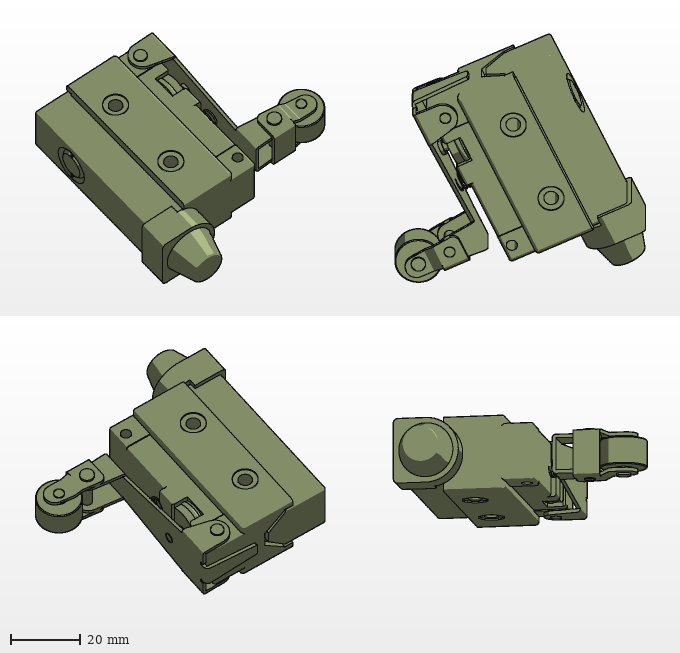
import cadquery as cq
import math


housing_length = 54.5
flange_half = 10.99
flange_bottom = 11.9
flange_top = 29.9
flange_round = 1.1
edge_round = 0.95

ear_half = 8.5
waist_half = 8.15
left_ear_end = 9.0
right_ear_start = 45.5
low_top = 38.3
high_top = 39.8
high_end = 27.1
cross_hole_y = 35.5
ear_hole_x = 49.6
cross_hole_diameter = 3.2

mount_hole_xs = (14.35, 40.0)
mount_hole_y = 18.5
mount_hole_diameter = 4.2
counterbore_diameter = 7.5
counterbore_depth = 0.4

cover_half = 8.0
cover_tip_y = 20.55
cover_tip_half = 2.0
cover_shoulder_y = 13.85
groove_tip_y = 21.85
groove_tip_half = 2.7
groove_shoulder_y = 14.7
groove_depth = 1.95

screw_x = 17.15
screw_rim_radius = 6.05
screw_valley_radius = 4.75
screw_disc_radius = 4.0
screw_groove_depth = 0.95
screw_rib_width = 0.7
screw_rib_recess = 0.2

gland_axis_y = 8.1
gland_radius = 9.5
gland_round = 1.4
gland_start = 51.9
gland_end = 61.5
gland_notch_y = 9.4
gland_bottom = -1.5
boss_end = 70.4
boss_base_radius = 7.9
boss_tip_radius = 5.25
boss_tip_round = 0.7

plunger_x = 16.6
boot_slot_width = 7.9
boot_slot_bottom = 34.6
boot_slot_chamfer = 0.65
boot_diameter = 15.0
boot_bead_bottom = 35.3
boot_bead_top = 36.8
boot_bead_bulge = 0.35
boot_top = 39.2
spring_x = 28.55
spring_outer_diameter = 5.3
spring_wire_diameter = 0.4
spring_turns = 3.4
spring_clearance = 0.2
spring_anchor = 0.15

sheet = 1.1
plate_top = 43.8
plate_bottom = plate_top - sheet
bend_radius = 1.1
tail_bend_radius = 1.6
pivot_x = 4.5
pivot_ear_radius = 4.3
pivot_ear_y = 36.4
bracket_end = 10.5
bracket_half = ear_half + sheet
fork_half = 5.8
tail_end_y = 25.6
tail_root_half = 3.45
tail_tip_half = 2.0
tail_tip_chamfer = 0.35
tail_outer_x = -1.65
relief_width = 0.9
relief_depth = 1.1

fork_start = 39.5
fork_end = 48.9
fork_lean = 0.117
fork_right = 48.6
link_half = fork_half + sheet
link_bottom = 48.95
link_web_top = 56.8
link_corner_round = 2.0
jog_start = 56.95
jog_end = 59.4
jog_round = 1.45
link_arc_y = 64.0
link_top = 67.2
link_pin_y = 53.0
fork_tip_radius = 3.45
roller_x = 44.55
roller_y = 62.9
roller_diameter = 13.6
roller_half = 4.05
roller_chamfer = 0.3
hub_diameter = 5.0

shaft_diameter = 3.2
pivot_head_diameter = 4.0
pivot_pin_half = 10.1
link_head_diameter = 4.3
link_pin_top = 7.5
link_pin_bottom = -7.05
roller_head_diameter = 4.2
roller_pin_top = 6.1
roller_pin_bottom = -6.35
rivet_top_diameter = 3.0
rivet_top = 44.05
rivet_head_diameter = 4.2
rivet_head_bottom = 41.65
rivet_stem_diameter = 2.8


def box(x_range, y_range, z_range):
    """Block between the given limits."""
    size = [high - low for low, high in (x_range, y_range, z_range)]
    corner = (x_range[0], y_range[0], z_range[0])
    return cq.Workplane("XY").box(*size, centered=False).translate(corner)


def cylinder_z(x, y, diameter, z_low, z_high):
    """Cylinder along Z."""
    return cq.Workplane("XY", origin=(x, y, z_low)).circle(diameter / 2).extrude(z_high - z_low)


def cylinder_y(x, diameter, y_low, y_high):
    """Cylinder along Y in the middle plane."""
    disc = cq.Workplane("XZ", origin=(x, y_low, 0)).circle(diameter / 2)
    return disc.extrude(-(y_high - y_low))


def upper_slice(x_range, top, half):
    """Lengthwise slice of a full-length block with rounded top and upright edges."""
    block = box((0, housing_length), (flange_bottom, top), (-half, half))
    block = block.edges("|Y or >Y").fillet(edge_round)
    return block.intersect(box(x_range, (flange_bottom, top), (-half, half)))


def pointed_prism(tip_y, tip_half, shoulder_y, half, depth):
    """Prism along X whose section narrows upwards to a blunt tip."""
    section = [(0, -half), (shoulder_y, -half), (tip_y, -tip_half),
               (tip_y, tip_half), (shoulder_y, half), (0, half)]
    return cq.Workplane("YZ").polyline(section).close().extrude(depth)


def make_upper_block():
    high_part = upper_slice((0, high_end), high_top, waist_half)
    low_part = upper_slice((0, housing_length), low_top, waist_half)
    left_ear = upper_slice((0, left_ear_end), high_top, ear_half)
    right_ear = upper_slice((right_ear_start, housing_length), low_top, ear_half)
    return high_part.union(low_part).union(left_ear).union(right_ear)


def make_flange():
    flange = box((0, housing_length), (flange_bottom, flange_top), (-flange_half, flange_half))
    return flange.edges("|Y or >Y").fillet(flange_round)


def make_cover():
    cover = box((0, housing_length), (0, cover_tip_y), (-cover_half, cover_half))
    cover = cover.edges("|Y or <Y").fillet(edge_round)
    return cover.intersect(
        pointed_prism(cover_tip_y, cover_tip_half, cover_shoulder_y, cover_half, housing_length)
    )


def make_screw_groove():
    """V-shaped ring groove around the screw, bridged by two ribs."""
    section = [(screw_disc_radius, 0), (screw_valley_radius, screw_groove_depth), (screw_rim_radius, 0)]
    groove = cq.Workplane("XY").polyline(section).close().revolve(360, (0, 0), (0, 1))
    rib_half = screw_rib_width / 2
    ribs = box((-rib_half, rib_half), (screw_rib_recess, screw_groove_depth),
               (-screw_rim_radius, screw_rim_radius))
    return groove.cut(ribs).translate((screw_x, 0, 0))


def make_gland():
    """Collar round the cover end, round on top, with a conical cable boss."""
    collar = cq.Workplane("YZ", origin=(gland_start, gland_axis_y, 0)).circle(gland_radius)
    collar = collar.extrude(gland_end - gland_start)
    skirt = box((gland_start, gland_end), (gland_bottom, gland_axis_y), (-gland_radius, gland_radius))
    skirt = skirt.edges("|X and <Y").fillet(gland_round)
    notch = box((gland_start, housing_length), (gland_notch_y, gland_axis_y + gland_radius),
                (-gland_radius, gland_radius))
    section = [(gland_end, 0), (gland_end, boss_base_radius), (boss_end, boss_tip_radius), (boss_end, 0)]
    boss = cq.Workplane("XY").polyline(section).close().revolve(360, (0, 0), (1, 0))
    boss = boss.faces(">X").edges().fillet(boss_tip_round).translate((0, gland_axis_y, 0))
    return collar.union(skirt).cut(notch).union(boss)


def make_boot_slot():
    """Slot across the upper block, with chamfered mouth corners."""
    half = boot_slot_width / 2
    section = [(-half, boot_slot_bottom), (half, boot_slot_bottom), (half, high_top - boot_slot_chamfer),
               (half + boot_slot_chamfer, high_top), (-half - boot_slot_chamfer, high_top),
               (-half, high_top - boot_slot_chamfer)]
    slot = cq.Workplane("XY").polyline(section).close().extrude(ear_half, both=True)
    return slot.translate((plunger_x, 0, 0))


def make_boot():
    """Round plunger boot with a bead at its foot, seen through the slot."""
    radius = boot_diameter / 2
    bead_middle = (boot_bead_bottom + boot_bead_top) / 2
    boot = (
        cq.Workplane("XY")
        .moveTo(0, boot_slot_bottom)
        .lineTo(radius, boot_slot_bottom)
        .lineTo(radius, boot_bead_bottom)
        .threePointArc((radius + boot_bead_bulge, bead_middle), (radius, boot_bead_top))
        .lineTo(radius, boot_top)
        .lineTo(0, boot_top)
        .close()
        .revolve(360, (0, 0), (0, 1))
        .translate((plunger_x, 0, 0))
    )
    half = boot_slot_width / 2
    window = box((plunger_x - half, plunger_x + half), (boot_slot_bottom, boot_top), (-ear_half, ear_half))
    return boot.intersect(window)


def make_mount_hole(x):
    """Through hole with a shallow counterbore on each side."""
    floor = flange_half - counterbore_depth
    hole = cylinder_z(x, mount_hole_y, mount_hole_diameter, -flange_half, flange_half)
    top_bore = cylinder_z(x, mount_hole_y, counterbore_diameter, floor, flange_half)
    bottom_bore = cylinder_z(x, mount_hole_y, counterbore_diameter, -flange_half, -floor)
    return hole.union(top_bore).union(bottom_bore)


def make_housing():
    groove = pointed_prism(groove_tip_y, groove_tip_half, groove_shoulder_y, ear_half, groove_depth)
    housing = make_upper_block().union(make_flange()).cut(groove)
    housing = housing.union(make_cover()).cut(make_screw_groove()).union(make_gland())
    housing = housing.cut(make_boot_slot()).union(make_boot())
    for x in mount_hole_xs:
        housing = housing.cut(make_mount_hole(x))
    for x in (pivot_x, ear_hole_x):
        housing = housing.cut(cylinder_z(x, cross_hole_y, cross_hole_diameter, -ear_half, ear_half))
    spring_bore_diameter = spring_outer_diameter + 2 * spring_clearance
    return housing.cut(cylinder_y(spring_x, spring_bore_diameter, low_top, high_top))


def mirrored(body):
    """The body together with its mirror image across Z = 0."""
    return body.union(body.mirror("XY"))


def tangent_point(corner, side):
    """Point where a line from the corner touches the pivot ear circle on its left (-1) or right (+1)."""
    dx = corner[0] - pivot_x
    dy = corner[1] - pivot_ear_y
    angle = math.atan2(dy, dx) - side * math.acos(pivot_ear_radius / math.hypot(dx, dy))
    return (pivot_x + pivot_ear_radius * math.cos(angle), pivot_ear_y + pivot_ear_radius * math.sin(angle))


def make_bracket():
    """Channel over the left housing ears: a plate strip with one rounded ear on each side."""
    strip = box((0, bracket_end), (plate_bottom, plate_top), (-bracket_half, bracket_half))
    bend_foot = plate_top - bend_radius
    left_corner = (0, bend_foot)
    right_corner = (bracket_end, bend_foot)
    ear = (
        cq.Workplane("XY", origin=(0, 0, ear_half))
        .moveTo(0, plate_top)
        .lineTo(*left_corner)
        .lineTo(*tangent_point(left_corner, -1))
        .threePointArc((pivot_x, pivot_ear_y - pivot_ear_radius), tangent_point(right_corner, 1))
        .lineTo(*right_corner)
        .lineTo(bracket_end, plate_top)
        .close()
        .extrude(sheet)
    )
    bracket = strip.union(mirrored(ear))
    bracket = bracket.edges("|X and >Y").fillet(bend_radius)
    relief_outer = tail_root_half + relief_width
    relief = box((0, relief_depth), (plate_bottom, plate_top), (tail_root_half, relief_outer))
    return bracket.cut(mirrored(relief))


def make_tail():
    """Tongue bent down from the plate along the housing end, tapering to its tip."""
    inner_x = tail_outer_x + sheet
    strip = box((tail_outer_x, 0), (tail_end_y, plate_top), (-tail_root_half, tail_root_half))
    hollow = box((inner_x, 0), (tail_end_y, plate_bottom), (-tail_root_half, tail_root_half))
    strip = strip.edges("|Z and <X and >Y").fillet(tail_bend_radius).cut(hollow)
    outline = [(plate_top, -tail_root_half), (plate_bottom, -tail_root_half),
               (tail_end_y + tail_tip_chamfer, -tail_tip_half),
               (tail_end_y, tail_tip_chamfer - tail_tip_half)]
    outline += [(y, -z) for y, z in reversed(outline)]
    taper = cq.Workplane("YZ", origin=(tail_outer_x, 0, 0)).polyline(outline).close()
    return strip.intersect(taper.extrude(-tail_outer_x))


def fork_left(y):
    """X of the leaning left edge shared by fork and link."""
    return fork_start + fork_lean * (y - plate_bottom)


def make_fork():
    """Tapering lever arm plate ending in a fork of two upright prongs with rounded tips."""
    inner_half = fork_half - sheet
    arm_outline = [(bracket_end, ear_half), (fork_start, inner_half), (fork_end, inner_half)]
    arm_outline += [(x, -z) for x, z in reversed(arm_outline)]
    arm = cq.Workplane("XZ", origin=(0, plate_top, 0)).polyline(arm_outline).close().extrude(sheet)
    prongs = (
        cq.Workplane("XY")
        .moveTo(fork_start, plate_bottom)
        .lineTo(fork_end, plate_bottom)
        .lineTo(fork_end, plate_top)
        .lineTo(fork_right, link_bottom)
        .lineTo(fork_right, link_pin_y)
        .threePointArc((roller_x, link_pin_y + fork_tip_radius), (fork_left(link_pin_y), link_pin_y))
        .close()
        .extrude(fork_half, both=True)
        .edges("|X and <Y")
        .fillet(bend_radius)
    )
    gap = box((fork_start, fork_end), (plate_top, link_top), (-inner_half, inner_half))
    return arm.union(prongs.cut(gap))


def make_link():
    """U-shaped link around the fork; its flanges jog inwards to carry the roller."""
    wide = link_half
    narrow = fork_half
    jogged = [(link_bottom, wide - sheet), (link_bottom, wide), (jog_start, wide), (jog_end, narrow),
              (link_top, narrow), (link_top, narrow - sheet), (jog_end, narrow - sheet),
              (jog_start, wide - sheet)]
    flange = cq.Workplane("YZ", origin=(fork_start, 0, 0)).polyline(jogged).close()
    flange = flange.extrude(fork_end - fork_start)
    jog_zone = cq.selectors.BoxSelector(
        (fork_start, jog_start - sheet, 0), (fork_end, jog_end + sheet, link_half + sheet)
    )
    flange = flange.edges("|X").edges(jog_zone).fillet(jog_round)
    arc_middle_x = (fork_left(link_arc_y) + fork_right) / 2
    outline = (
        cq.Workplane("XY")
        .moveTo(fork_left(link_bottom), link_bottom)
        .lineTo(fork_right, link_bottom)
        .lineTo(fork_right, link_arc_y)
        .threePointArc((arc_middle_x, link_top), (fork_left(link_arc_y), link_arc_y))
        .close()
        .extrude(link_half)
        .edges("|Z and <X and <Y")
        .fillet(link_corner_round)
    )
    web = box((fork_right - sheet, fork_right + sheet), (link_bottom, link_web_top), (-wide, wide))
    web = web.edges("|Y and >X").fillet(bend_radius)
    inner_half = wide - sheet
    web = web.cut(box((fork_start, fork_right), (link_bottom, link_web_top), (-inner_half, inner_half)))
    return mirrored(flange.intersect(outline)).union(web)


def make_roller():
    wheel = cylinder_z(roller_x, roller_y, roller_diameter, -roller_half, roller_half)
    wheel = wheel.edges().chamfer(roller_chamfer)
    hub_half = fork_half - sheet
    return wheel.union(cylinder_z(roller_x, roller_y, hub_diameter, -hub_half, hub_half))


def make_pins():
    """Pivot pin, link pin and roller pin, each a shaft with one wider head."""
    pivot = cylinder_z(pivot_x, cross_hole_y, shaft_diameter, -pivot_pin_half, pivot_pin_half)
    pivot_head = cylinder_z(pivot_x, cross_hole_y, pivot_head_diameter, bracket_half, pivot_pin_half)
    link_pin = cylinder_z(roller_x, link_pin_y, shaft_diameter, link_pin_bottom, link_pin_top)
    link_head = cylinder_z(roller_x, link_pin_y, link_head_diameter, link_half, link_pin_top)
    roller_pin = cylinder_z(roller_x, roller_y, shaft_diameter, roller_pin_bottom, roller_pin_top)
    roller_head = cylinder_z(roller_x, roller_y, roller_head_diameter, roller_pin_bottom, -fork_half)
    return [pivot, pivot_head, link_pin, link_head, roller_pin, roller_head]


def make_rivet():
    """Rivet through the lever arm that presses on the boot."""
    top = cylinder_y(plunger_x, rivet_top_diameter, plate_bottom, rivet_top)
    head = cylinder_y(plunger_x, rivet_head_diameter, rivet_head_bottom, plate_bottom)
    stem = cylinder_y(plunger_x, rivet_stem_diameter, boot_top, rivet_head_bottom)
    return top.union(head).union(stem)


def make_spring():
    """Coil hanging from the lever arm down to its seat on the housing."""
    wire_radius = spring_wire_diameter / 2
    coil_radius = spring_outer_diameter / 2 - wire_radius
    spring_start_y = low_top + wire_radius
    height = plate_bottom + spring_anchor - spring_start_y
    path = cq.Wire.makeHelix(height / spring_turns, height, coil_radius)
    wire = cq.Workplane("XZ", origin=(coil_radius, 0, 0)).circle(wire_radius)
    coil = wire.sweep(cq.Workplane(path), isFrenet=True)
    coil = coil.rotate((0, 0, 0), (1, 0, 0), -90)
    return coil.translate((spring_x, spring_start_y, 0))


def make_lever():
    lever = make_bracket().union(make_tail()).union(make_fork()).union(make_link()).union(make_roller())
    for pin in make_pins():
        lever = lever.union(pin)
    return lever.union(make_rivet()).union(make_spring())


housing = make_housing()
lever = make_lever()
result = cq.Compound.makeCompound([housing.val(), lever.val()])